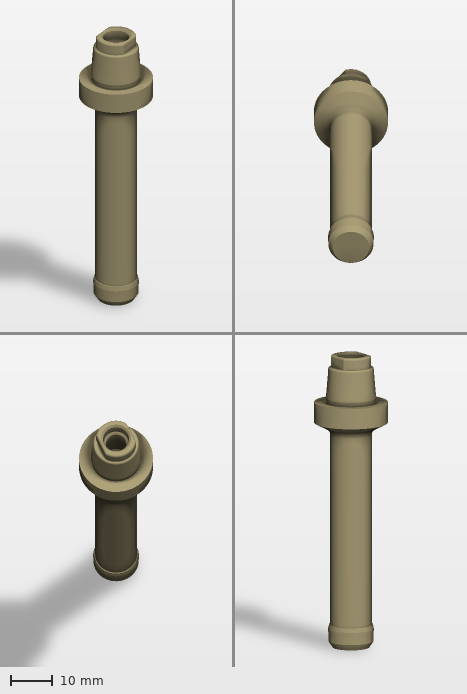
import cadquery as cq
import math

total_length = 71.45

shaft_radius = 5.0
foot_height = 5.6
foot_shoulder_radius = 5.3
foot_max_radius = 5.5
foot_max_z = 4.5
foot_low_radius = 5.4
foot_chamfer_height = 1.5
foot_bottom_radius = 4.4

flange_diameter = 17.8
flange_radius = flange_diameter / 2
flange_bottom_z = 55.0
flange_top_z = 60.0
flare_slope = math.radians(27)
flare_fillet_radius = 1.7

relief_outer_radius = 6.8
relief_depth = 0.3
relief_neck_radius = 5.9
relief_neck_height = 0.4

seat_low_radius = 6.1
seat_low_z = 61.0
seat_top_radius = 5.4
seat_top_z = 68.6
seat_edge_radius = 0.5

boss_radius = 4.85
boss_edge_radius = 0.5
flat_distance = 4.0

bore_mouth_radius = 3.65
bore_radius = 3.15
bore_depth = 2.85
pilot_mouth_radius = 2.85
pilot_radius = 2.5
pilot_depth = 11.4
drill_tip_angle = math.radians(118)


def make_body():
    """Solid of revolution: foot, shaft, flange and tapered seat."""
    arc_center_radius = shaft_radius + flare_fillet_radius
    tangent_radius = arc_center_radius - flare_fillet_radius * math.sin(flare_slope)
    tangent_z = flange_bottom_z - (flange_radius - tangent_radius) * math.tan(flare_slope)
    arc_center_z = tangent_z - flare_fillet_radius * math.cos(flare_slope)
    mid_angle = (math.pi / 2 + flare_slope + math.pi) / 2
    arc_middle = (
        arc_center_radius + flare_fillet_radius * math.cos(mid_angle),
        arc_center_z + flare_fillet_radius * math.sin(mid_angle),
    )
    return (
        cq.Workplane("XZ")
        .lineTo(foot_bottom_radius, 0)
        .lineTo(foot_low_radius, foot_chamfer_height)
        .lineTo(foot_max_radius, foot_max_z)
        .lineTo(foot_shoulder_radius, foot_height)
        .lineTo(shaft_radius, foot_height)
        .lineTo(shaft_radius, arc_center_z)
        .threePointArc(arc_middle, (tangent_radius, tangent_z))
        .lineTo(flange_radius, flange_bottom_z)
        .lineTo(flange_radius, flange_top_z)
        .lineTo(relief_outer_radius, flange_top_z)
        .lineTo(relief_neck_radius, flange_top_z - relief_depth)
        .lineTo(relief_neck_radius, flange_top_z + relief_neck_height)
        .lineTo(seat_low_radius, seat_low_z)
        .lineTo(seat_top_radius, seat_top_z)
        .lineTo(0, seat_top_z)
        .close()
        .revolve(360, (0, 0, 0), (0, 1, 0))
        .faces(">Z")
        .edges()
        .fillet(seat_edge_radius)
    )


def make_boss():
    """Round drive boss with a flat on each X side and a rounded top edge."""
    height = total_length - seat_top_z
    flats = cq.Workplane("XY").box(
        2 * flat_distance, 2 * boss_radius, height, centered=(True, True, False)
    )
    boss = cq.Workplane("XY").circle(boss_radius).extrude(height).intersect(flats)
    return boss.faces(">Z").edges().fillet(boss_edge_radius).translate((0, 0, seat_top_z))


def make_bore():
    """Countersunk bore stepping down to a drilled pilot hole."""
    bore_floor_z = total_length - bore_depth
    pilot_floor_z = total_length - pilot_depth
    tip_z = pilot_floor_z - pilot_radius / math.tan(drill_tip_angle / 2)
    return (
        cq.Workplane("XZ")
        .moveTo(0, total_length)
        .lineTo(bore_mouth_radius, total_length)
        .lineTo(bore_radius, total_length - (bore_mouth_radius - bore_radius))
        .lineTo(bore_radius, bore_floor_z)
        .lineTo(pilot_mouth_radius, bore_floor_z)
        .lineTo(pilot_radius, bore_floor_z - (pilot_mouth_radius - pilot_radius))
        .lineTo(pilot_radius, pilot_floor_z)
        .lineTo(0, tip_z)
        .close()
        .revolve(360, (0, 0, 0), (0, 1, 0))
    )


result = make_body().union(make_boss()).cut(make_bore())